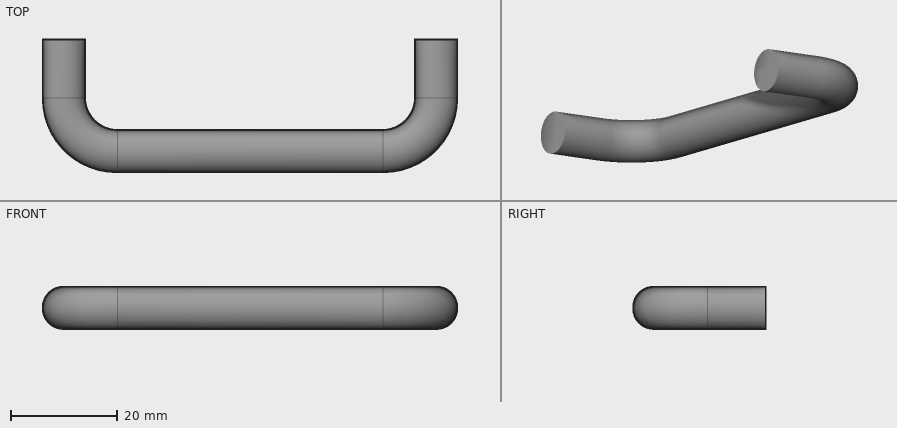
import cadquery as cq

bar_diameter = 8.0
leg_spacing = 70.0
handle_depth = 25.0
bend_radius = 10.0

leg_x = leg_spacing / 2
grip_y = bar_diameter / 2 - handle_depth
bend_start_y = grip_y + bend_radius
grip_end_x = leg_x - bend_radius


def handle_centreline():
    """U-shaped path: leg, bend, grip, bend, leg."""
    return (
        cq.Workplane("XY")
        .moveTo(-leg_x, 0)
        .lineTo(-leg_x, bend_start_y)
        .radiusArc((-grip_end_x, grip_y), -bend_radius)
        .lineTo(grip_end_x, grip_y)
        .radiusArc((leg_x, bend_start_y), -bend_radius)
        .lineTo(leg_x, 0)
    )


def bar_section():
    """Round bar section on the end face of the left leg."""
    return cq.Workplane("XZ").center(-leg_x, 0).circle(bar_diameter / 2)


result = bar_section().sweep(handle_centreline())